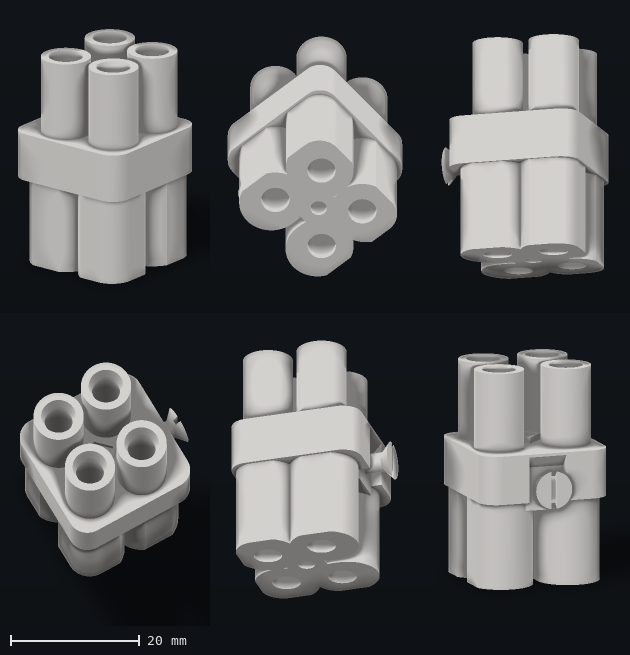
import cadquery as cq
import math


overall_length = 23.73
total_height = 33.8
flange_bottom = 13.75
flange_top = 21.4

flange_side = 20.95
flange_corner_radius = 3.0
flange_half = flange_side / 2

tower_diameter = 7.8
left_tower_x, left_tower_y = -3.38, 5.5
right_tower_x, right_tower_y = 5.5, 4.87
sleeve_radius = 4.97
sleeve_stretch = 0.85
sleeve_envelope_side = 20.08
sleeve_envelope_radius = 3.48

bore_diameter = 4.4
bore_mouth_diameter = 5.4
bore_mouth_depth = 1.85

core_x = 0.75
core_diameter = 6.35
core_hole_diameter = 2.5
collar_top = 22.38
collar_diagonal = 5.88
collar_recess_diagonal = 4.4

seat_width = 6.1
seat_bottom = 12.2
seat_top = 20.95
seat_depth = 1.65
seat_slope_drop = 1.9
seat_wall_x = -flange_half + seat_depth

screw_z = 16.1
screw_end_x = flange_half - overall_length
screw_shank_diameter = 3.05
screw_head_diameter = 5.95
screw_head_length = 1.4
screw_slot_width = 0.88
screw_slot_depth = 0.78

chambers = []
for side in (-1, 1):
    chambers.append((left_tower_x, side * left_tower_y, -1, 0))
    chambers.append((right_tower_x, side * right_tower_y, 0, side))


def rounded_block(side, corner_radius, bottom, top):
    """Square block with rounded vertical edges, centred on X = Y = 0."""
    block = cq.Workplane("XY").workplane(offset=bottom).rect(side, side).extrude(top - bottom)
    return block.edges("|Z").fillet(corner_radius)


def cylinder(x, y, diameter, bottom, top):
    """Upright cylinder between two heights."""
    return cq.Workplane("XY").workplane(offset=bottom).center(x, y).circle(diameter / 2).extrude(top - bottom)


def sleeve(x, y, stretch_x, stretch_y):
    """Lower sleeve: an obround from the tower axis, stretched outwards."""
    angle = math.degrees(math.atan2(stretch_y, stretch_x))
    middle_x = x + stretch_x * sleeve_stretch / 2
    middle_y = y + stretch_y * sleeve_stretch / 2
    outline = cq.Workplane("XY").center(middle_x, middle_y)
    return outline.slot2D(sleeve_stretch + 2 * sleeve_radius, 2 * sleeve_radius, angle).extrude(flange_bottom)


def chamber_bore(x, y):
    """Through bore with a tapered mouth at the tower top."""
    mouth = (
        cq.Workplane("XY")
        .workplane(offset=total_height)
        .center(x, y)
        .circle(bore_mouth_diameter / 2)
        .workplane(offset=-bore_mouth_depth)
        .circle(bore_diameter / 2)
        .loft()
    )
    return cylinder(x, y, bore_diameter, 0, total_height).union(mouth)


def diamond(diagonal):
    """Square standing on its corner, from the flange top to the collar top."""
    outline = cq.Workplane("XY").workplane(offset=flange_top).center(core_x, 0).polygon(4, diagonal)
    return outline.extrude(collar_top - flange_top)


def seat_pocket():
    """Pocket for the screw head, with a ceiling that slopes down inwards."""
    profile = [
        (-flange_half, seat_bottom),
        (seat_wall_x, seat_bottom),
        (seat_wall_x, seat_top - seat_slope_drop),
        (-flange_half, seat_top),
    ]
    return cq.Workplane("XZ").polyline(profile).close().extrude(seat_width / 2, both=True)


def seat_block():
    """Solid backing below the flange, between the seat wall and the core."""
    length = core_x - seat_wall_x
    height = flange_bottom - seat_bottom
    block = cq.Workplane("XY").box(length, seat_width, height, centered=(False, True, False))
    return block.translate((seat_wall_x, 0, seat_bottom))


def screw():
    """Slotted countersunk screw lying along X, seated on the seat wall."""
    shank_start_x = screw_end_x + screw_head_length
    profile = [
        (screw_end_x, 0),
        (screw_end_x, screw_head_diameter / 2),
        (shank_start_x, screw_shank_diameter / 2),
        (seat_wall_x, screw_shank_diameter / 2),
        (seat_wall_x, 0),
    ]
    body = cq.Workplane("XY").polyline(profile).close().revolve(360, (0, 0, 0), (1, 0, 0))
    slot = cq.Workplane("XY").box(
        screw_slot_depth, screw_slot_width, screw_head_diameter, centered=(False, True, True)
    )
    return body.cut(slot.translate((screw_end_x, 0, 0))).translate((0, 0, screw_z))


lower = cylinder(core_x, 0, core_diameter, 0, flange_bottom)
for chamber in chambers:
    lower = lower.union(sleeve(*chamber))
lower = lower.intersect(rounded_block(sleeve_envelope_side, sleeve_envelope_radius, 0, flange_bottom))

body = lower.union(rounded_block(flange_side, flange_corner_radius, flange_bottom, flange_top))
for x, y, _, _ in chambers:
    body = body.union(cylinder(x, y, tower_diameter, flange_top, total_height))
body = body.union(diamond(collar_diagonal)).cut(diamond(collar_recess_diagonal))

body = body.union(seat_block()).cut(seat_pocket())

for x, y, _, _ in chambers:
    body = body.cut(chamber_bore(x, y))
body = body.cut(cylinder(core_x, 0, core_hole_diameter, 0, collar_top))

result = body.union(screw())